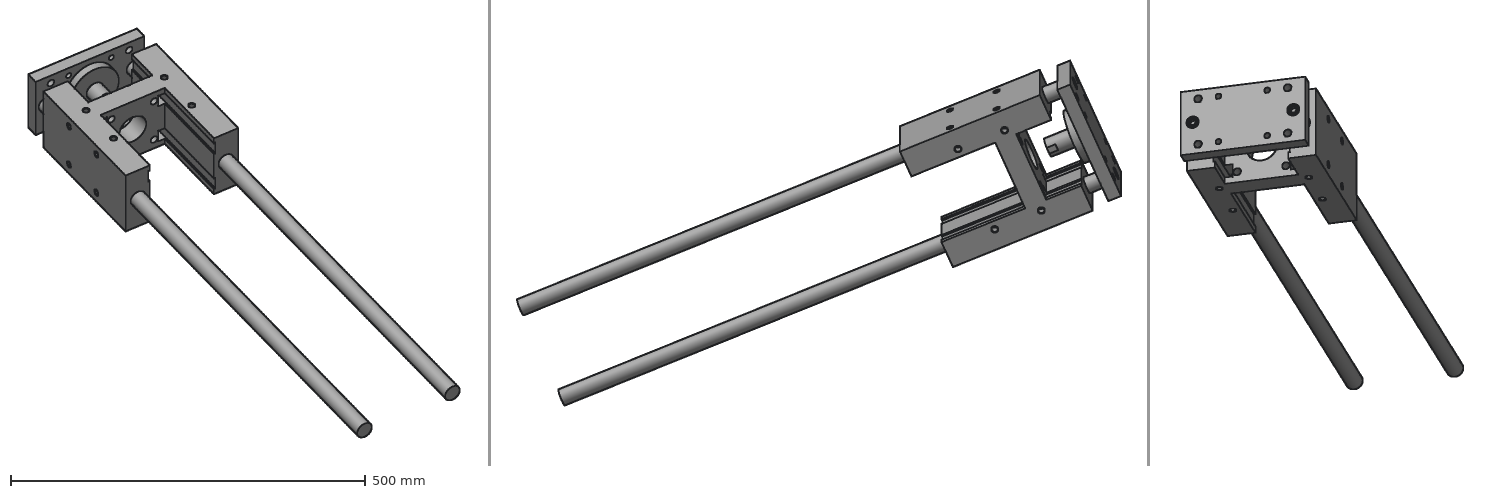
import cadquery as cq
import math

total_length = 852.0
body_width = 189.0
body_height = 105.0

plate_thickness = 20.0
plate_width = 182.0
plate_height = 100.0

body_start = 45.0
body_length = 215.0
arm_width = 41.0
web_start = 99.0
web_thickness = 32.0
arm_inner_y = body_width / 2 - arm_width

rod_diameter = 25.0
rod_spacing = 147.0

flange_diameter = 80.0
flange_end = 32.0
stub_diameter = 28.0
stub_end = 73.0
flat_length = 14.0
flat_depth = 1.0

groove_depth = 2.5
groove_bottom = 23.0
groove_top = 43.0
groove_web_reach = 11.0

hole_pitch = 71.5
outer_hole_y = 66.0
tapped_mouth_diameter = 10.0
tapped_diameter = 8.35
tapped_depth = 17.0
clearance_diameter = 11.0
screw_bore_diameter = 18.0
screw_head_diameter = 17.0
screw_head_depth = 10.0
screw_head_chamfer = 2.0
socket_across_flats = 8.5
socket_depth = 5.0
pilot_diameter = 45.0
mount_first_x = 112.0


def block(x_start, x_end, y_start, y_end, z_start, z_end):
    """Box given by its limits along each axis."""
    size = (x_end - x_start, y_end - y_start, z_end - z_start)
    return cq.Workplane("XY").box(*size, centered=False).translate((x_start, y_start, z_start))


def centred_block(x_start, x_end, width, height):
    """Box between two X positions, centred on the X axis."""
    return block(x_start, x_end, -width / 2, width / 2, -height / 2, height / 2)


def cylinders_x(x_start, x_end, diameter, centres):
    """Cylinders along X at the given (y, z) centres."""
    return (
        cq.Workplane("YZ", origin=(x_start, 0, 0))
        .pushPoints(centres)
        .circle(diameter / 2)
        .extrude(x_end - x_start)
    )


def square_pattern(y_offset):
    """Four (y, z) points, mirrored about both axes."""
    return [(y, z) for y in (-y_offset, y_offset) for z in (-hole_pitch / 2, hole_pitch / 2)]


def tapped_hole(mouth, inward):
    """Cutter for a blind hole with a 45 degree countersink at its mouth."""
    start = cq.Vector(*mouth)
    direction = cq.Vector(*inward)
    bore_radius = tapped_diameter / 2
    mouth_radius = tapped_mouth_diameter / 2
    bore = cq.Solid.makeCylinder(bore_radius, tapped_depth, start, direction)
    countersink = cq.Solid.makeCone(mouth_radius, bore_radius, mouth_radius - bore_radius, start, direction)
    return bore.fuse(countersink)


axis = [(0, 0)]
rod_centres = [(-rod_spacing / 2, 0), (rod_spacing / 2, 0)]
web_holes = square_pattern(hole_pitch / 2)
plate_outer_holes = square_pattern(outer_hole_y)
body_end = body_start + body_length
web_end = web_start + web_thickness
mount_xs = (mount_first_x, mount_first_x + hole_pitch)


def make_body():
    body = centred_block(body_start, body_end, body_width, body_height)
    for x_start, x_end in ((body_start, web_start), (web_end, body_end)):
        body = body.cut(centred_block(x_start, x_end, 2 * arm_inner_y, body_height))

    groove_inner_y = arm_inner_y - groove_web_reach
    groove_outer_y = arm_inner_y + groove_depth
    for y_side in (-1, 1):
        for z_side in (-1, 1):
            y_limits = sorted((y_side * groove_inner_y, y_side * groove_outer_y))
            z_limits = sorted((z_side * groove_bottom, z_side * groove_top))
            body = body.cut(block(body_start, body_end, *y_limits, *z_limits))

    body = body.cut(cylinders_x(web_start, web_end, pilot_diameter, axis))
    body = body.cut(cylinders_x(web_start, web_end, clearance_diameter, web_holes))

    for side in (-1, 1):
        for offset in (-1, 1):
            for x in mount_xs:
                vertical_mouth = (x, offset * outer_hole_y, side * body_height / 2)
                side_mouth = (x, side * body_width / 2, offset * hole_pitch / 2)
                body = body.cut(tapped_hole(vertical_mouth, (0, 0, -side)))
                body = body.cut(tapped_hole(side_mouth, (0, -side, 0)))
    return body


def make_coupling():
    flange = cylinders_x(plate_thickness, flange_end, flange_diameter, axis)
    stub = cylinders_x(flange_end, stub_end, stub_diameter, axis)
    flat_gap = stub_diameter - 2 * flat_depth
    tip = centred_block(stub_end - flat_length, stub_end, stub_diameter, stub_diameter)
    tip = tip.cut(centred_block(stub_end - flat_length, stub_end, stub_diameter, flat_gap))
    return flange.union(stub.cut(tip))


plate = centred_block(0, plate_thickness, plate_width, plate_height)
rods = cylinders_x(plate_thickness, total_length, rod_diameter, rod_centres)

result = plate.union(rods).union(make_coupling()).union(make_body())

result = result.cut(cylinders_x(0, plate_thickness, tapped_diameter, web_holes))
result = result.cut(cylinders_x(0, plate_thickness, clearance_diameter, plate_outer_holes))

result = result.cut(cylinders_x(0, screw_head_depth, screw_bore_diameter, rod_centres))
screw_heads = cylinders_x(0, screw_head_depth, screw_head_diameter, rod_centres)
result = result.union(screw_heads.faces("<X").edges().chamfer(screw_head_chamfer))
socket_corner_diameter = socket_across_flats / math.cos(math.pi / 6)
sockets = (
    cq.Workplane("YZ")
    .pushPoints(rod_centres)
    .polygon(6, socket_corner_diameter)
    .extrude(socket_depth)
)
result = result.cut(sockets)